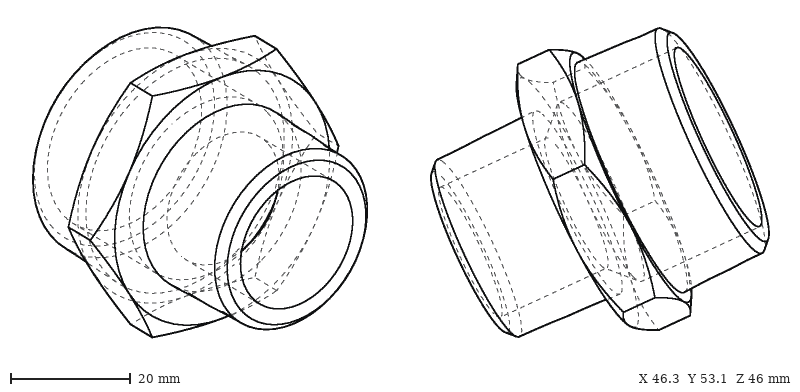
import cadquery as cq
import math


total_length = 46.3
hex_width = 10.0
small_spigot_length = 20.0
large_spigot_length = total_length - hex_width - small_spigot_length

across_flats = 46.0
across_corners = across_flats / math.cos(math.pi / 6)
hex_chamfer_angle = math.radians(30)

thread_taper = 1 / 16
tip_chamfer = 1.5
large_gauge_radius = 41.91 / 2
large_gauge_length = 7.5
small_gauge_radius = 33.249 / 2
small_gauge_length = 10.4
small_neck_length = 1.0

large_bore_radius = 16.5
small_bore_radius = 12.0
large_bore_depth = 22.0
bore_cone_length = large_bore_radius - small_bore_radius

hex_start = large_spigot_length
hex_end = hex_start + hex_width
neck_end = hex_end + small_neck_length
large_gauge_x = large_gauge_length
small_gauge_x = total_length - small_gauge_length


def cone_radius(gauge_radius, distance):
    """Radius of a taper thread at a distance from its gauge plane, growing towards the hexagon."""
    return gauge_radius + distance * thread_taper / 2


def revolve_about_x(points):
    """Solid of revolution about X; points are (x, radius) pairs of a closed outline."""
    outline = cq.Workplane("XY").polyline([(x, -radius) for x, radius in points]).close()
    return outline.revolve(360, (0, 0, 0), (1, 0, 0), clean=False)


def make_large_spigot():
    chamfer_radius = cone_radius(large_gauge_radius, tip_chamfer - large_gauge_x)
    root_radius = cone_radius(large_gauge_radius, hex_start - large_gauge_x)
    return revolve_about_x([
        (0, 0),
        (0, chamfer_radius - tip_chamfer),
        (tip_chamfer, chamfer_radius),
        (large_gauge_x, large_gauge_radius),
        (hex_start, root_radius),
        (hex_start, 0),
    ])


def make_small_spigot():
    chamfer_start = total_length - tip_chamfer
    neck_radius = cone_radius(small_gauge_radius, small_gauge_x - neck_end)
    chamfer_radius = cone_radius(small_gauge_radius, small_gauge_x - chamfer_start)
    return revolve_about_x([
        (hex_end, 0),
        (hex_end, neck_radius),
        (neck_end, neck_radius),
        (small_gauge_x, small_gauge_radius),
        (chamfer_start, chamfer_radius),
        (total_length, chamfer_radius - tip_chamfer),
        (total_length, 0),
    ])


def make_hexagon():
    """Hexagon with flats facing +Z and -Z, its corners turned down at both faces."""
    face_radius = across_flats / 2
    corner_radius = across_corners / 2
    chamfer_width = (corner_radius - face_radius) * math.tan(hex_chamfer_angle)
    prism = cq.Workplane("YZ", origin=(hex_start, 0, 0)).polygon(6, across_corners).extrude(hex_width)
    turned_envelope = revolve_about_x([
        (hex_start, 0),
        (hex_start, face_radius),
        (hex_start + chamfer_width, corner_radius),
        (hex_end - chamfer_width, corner_radius),
        (hex_end, face_radius),
        (hex_end, 0),
    ])
    return prism.intersect(turned_envelope)


def make_bore():
    """Wide bore from the large tip, narrowing through a cone to the small through bore."""
    return revolve_about_x([
        (0, 0),
        (0, large_bore_radius),
        (large_bore_depth, large_bore_radius),
        (large_bore_depth + bore_cone_length, small_bore_radius),
        (total_length, small_bore_radius),
        (total_length, 0),
    ])


body = make_large_spigot().union(make_hexagon(), clean=False).union(make_small_spigot(), clean=False)
result = body.cut(make_bore(), clean=False)